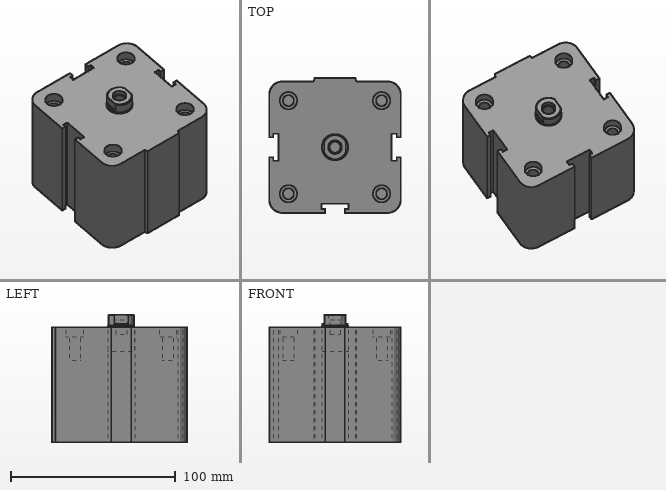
import cadquery as cq


width = 80.0
height = 70.0
corner_radius = 8.3
half_width = width / 2

pad_height = 2.0
pad_base_width = 26.0
pad_top_width = 24.8

slot_opening = 12.0
slot_width = 16.2
slot_depth = 5.6
lip_thickness = 2.6
slot_angles = (0, 90, 180)

mount_pitch = 56.5
mount_hole_diameter = 6.65
mount_hole_depth = 20.0
mount_bore_diameter = 10.5
mount_bore_depth = 6.0

rod_diameter = 16.0
rod_seat_depth = 14.6
rod_projection = 7.5
collar_height = 0.6
collar_taper_height = 0.4
head_diameter = 15.6
head_chamfer = 0.5
flat_distance = 13.0
flat_height = 5.5

thread_diameter = 6.65
thread_depth = 12.0
recess_diameter = 8.3
recess_depth = 3.0


def make_pad():
    outline = [
        (-pad_base_width / 2, half_width),
        (-pad_top_width / 2, half_width + pad_height),
        (pad_top_width / 2, half_width + pad_height),
        (pad_base_width / 2, half_width),
    ]
    return cq.Workplane("XY").polyline(outline).close().extrude(height)


def make_t_slot():
    """T-slot cutter on the -X side, running the full height."""
    undercut_depth = slot_depth - lip_thickness
    opening = (
        cq.Workplane("XY")
        .center(-half_width + lip_thickness / 2, 0)
        .rect(lip_thickness, slot_opening)
        .extrude(height)
    )
    undercut = (
        cq.Workplane("XY")
        .center(-half_width + lip_thickness + undercut_depth / 2, 0)
        .rect(undercut_depth, slot_width)
        .extrude(height)
    )
    return opening.union(undercut)


def make_housing():
    block = cq.Workplane("XY").rect(width, width).extrude(height)
    body = block.edges("|Z").fillet(corner_radius).union(make_pad())
    for angle in slot_angles:
        body = body.cut(make_t_slot().rotate((0, 0, 0), (0, 0, 1), angle))
    body = (
        body.faces(">Z")
        .workplane(origin=(0, 0, height))
        .rect(mount_pitch, mount_pitch, forConstruction=True)
        .vertices()
        .cboreHole(mount_hole_diameter, mount_bore_diameter, mount_bore_depth, mount_hole_depth)
    )
    rod_seat = (
        cq.Workplane("XY")
        .workplane(offset=height - rod_seat_depth)
        .circle(rod_diameter / 2)
        .extrude(rod_seat_depth)
    )
    return body.cut(rod_seat)


def make_rod():
    rod_radius = rod_diameter / 2
    head_radius = head_diameter / 2
    bottom = height - rod_seat_depth
    top = height + rod_projection
    collar_top = height + collar_height
    half_profile = [
        (0, bottom),
        (rod_radius, bottom),
        (rod_radius, collar_top),
        (head_radius, collar_top + collar_taper_height),
        (head_radius, top - head_chamfer),
        (head_radius - head_chamfer, top),
        (0, top),
    ]
    rod = cq.Workplane("XZ").polyline(half_profile).close().revolve(360, (0, 0, 0), (0, 1, 0))

    flat_cut_depth = rod_radius - flat_distance / 2
    flat_cuts = (
        cq.Workplane("XY")
        .workplane(offset=top - flat_height)
        .pushPoints([(side * (flat_distance + flat_cut_depth) / 2, 0) for side in (-1, 1)])
        .rect(flat_cut_depth, rod_diameter)
        .extrude(flat_height)
    )
    return (
        rod.cut(flat_cuts)
        .faces(">Z")
        .workplane(origin=(0, 0, top))
        .cboreHole(thread_diameter, recess_diameter, recess_depth, thread_depth)
    )


housing = make_housing()
rod = make_rod()

result = cq.Compound.makeCompound([housing.val(), rod.val()])